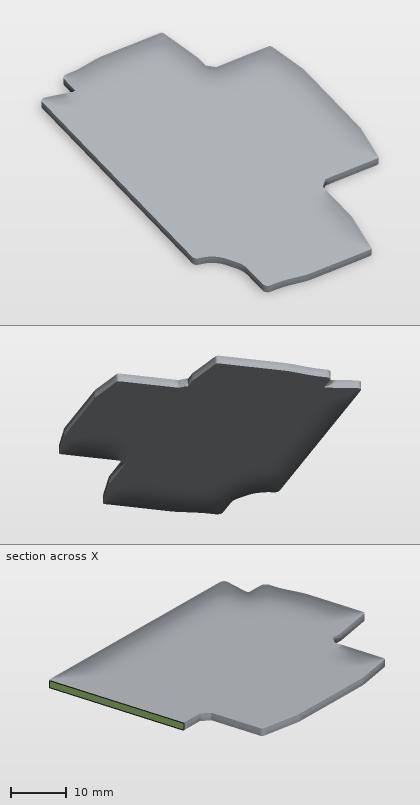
import cadquery as cq
import math

length = 71.6
height = 44.8
thickness = 1.5
half_length = length / 2

shoulder_y = 30.35
shoulder_flat_half = 26.3
roof_angle = 10.0
flange_y = 6.7
flange_half = 34.9
taper_bottom_y = 10.2
taper_top_y = 15.2

block_left = -22.35
block_right = 14.75
roof_flat_left = -13.45
roof_flat_right = 5.9
right_corner_leg = 1.5
left_corner_leg = 1.15
left_corner_step = 0.3

notch_x = -30.1
notch_wall_bottom_y = 6.1
foot_left = -31.65
foot_right = 21.4
scoop_start = (21.6, 0.85)
scoop_middle = (22.5, 3.15)
scoop_end = (24.0, 4.7)
scoop_corner_x = 27.35

roof_radius = 0.6
flange_radius = 1.1
taper_top_radius = 7.15
taper_bottom_radius = 14.3
foot_left_radius = 0.85
foot_right_radius = 1.0
scoop_blend_radius = 5.0

roof_slope = math.tan(math.radians(roof_angle))
block_left_y = height - (roof_flat_left - block_left) * roof_slope
block_right_y = height - (block_right - roof_flat_right) * roof_slope
shoulder_end_y = shoulder_y - (half_length - shoulder_flat_half) * roof_slope
left_step_x = block_left - left_corner_leg
left_step_y = shoulder_y + left_corner_step

outline = (
    cq.Workplane("XY")
    .moveTo(foot_left, 0)
    .lineTo(foot_right, 0)
    .lineTo(*scoop_start)
    .threePointArc(scoop_middle, scoop_end)
    .lineTo(scoop_corner_x, flange_y)
    .lineTo(flange_half, flange_y)
    .lineTo(flange_half, taper_bottom_y)
    .lineTo(half_length, taper_top_y)
    .lineTo(half_length, shoulder_end_y)
    .lineTo(shoulder_flat_half, shoulder_y)
    .lineTo(block_right + right_corner_leg, shoulder_y)
    .lineTo(block_right, shoulder_y + right_corner_leg)
    .lineTo(block_right, block_right_y)
    .lineTo(roof_flat_right, height)
    .lineTo(roof_flat_left, height)
    .lineTo(block_left, block_left_y)
    .lineTo(block_left, left_step_y + left_corner_leg)
    .lineTo(left_step_x, left_step_y)
    .lineTo(left_step_x, shoulder_y)
    .lineTo(-shoulder_flat_half, shoulder_y)
    .lineTo(-half_length, shoulder_end_y)
    .lineTo(-half_length, taper_top_y)
    .lineTo(-flange_half, taper_bottom_y)
    .lineTo(-flange_half, flange_y)
    .lineTo(notch_x, flange_y)
    .lineTo(notch_x, notch_wall_bottom_y)
    .close()
)
plate = outline.extrude(thickness)


def round_corner(body, x, y, radius):
    """Round the through-thickness edge standing at (x, y)."""
    edge = cq.selectors.NearestToPointSelector((x, y, thickness / 2))
    return body.edges("|Z").edges(edge).fillet(radius)


rounded_corners = [
    (block_left, block_left_y, roof_radius),
    (block_right, block_right_y, roof_radius),
    (-half_length, shoulder_end_y, roof_radius),
    (half_length, shoulder_end_y, roof_radius),
    (-half_length, taper_top_y, taper_top_radius),
    (half_length, taper_top_y, taper_top_radius),
    (-flange_half, taper_bottom_y, taper_bottom_radius),
    (flange_half, taper_bottom_y, taper_bottom_radius),
    (-flange_half, flange_y, flange_radius),
    (flange_half, flange_y, flange_radius),
    (foot_left, 0, foot_left_radius),
    (foot_right, 0, foot_right_radius),
    (scoop_corner_x, flange_y, scoop_blend_radius),
]
for corner_x, corner_y, corner_radius in rounded_corners:
    plate = round_corner(plate, corner_x, corner_y, corner_radius)

result = plate